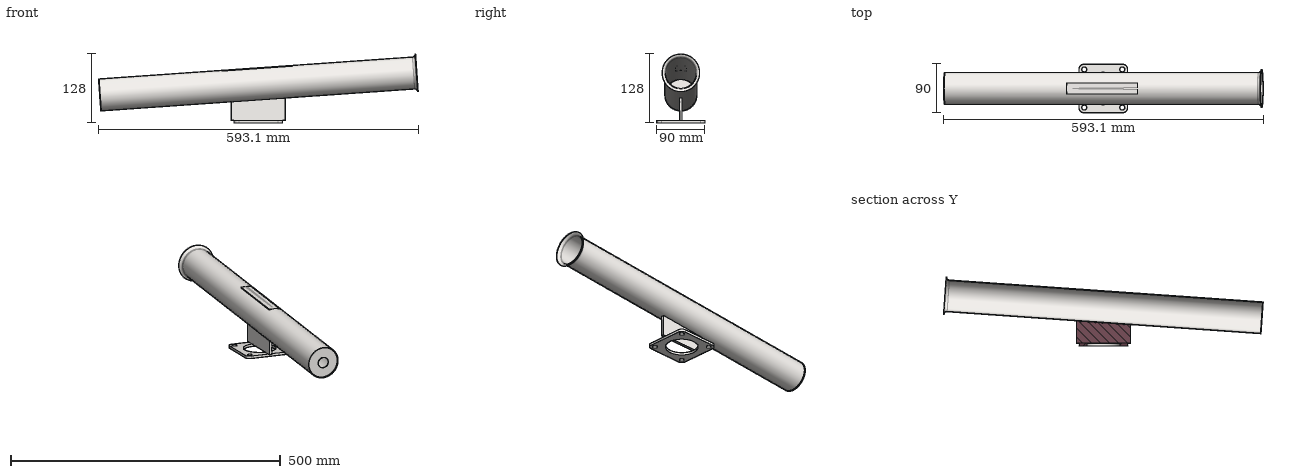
import cadquery as cq
import math

tilt = 4.0
tube_diameter = 60.0
bore_diameter = 57.0
tube_length = 590.0
lip_diameter = 70.0
end_hole_diameter = 20.0
overall_height = 128.0

tube_radius = tube_diameter / 2
bore_radius = bore_diameter / 2
lip_radius = lip_diameter / 2
wall = tube_radius - bore_radius
lower_end = -tube_length / 2
upper_end = tube_length / 2
tilt_angle = math.radians(tilt)
tube_center_height = overall_height - upper_end * math.sin(tilt_angle) - lip_radius * math.cos(tilt_angle)

pad_length = 131.5
pad_width = 20.0
pad_sink_angle = 0.02
pad_sink_start = -54.5

plate_size = 90.0
plate_thickness = 5.0
plate_corner_radius = 9.0
plate_opening_diameter = 60.5
screw_hole_diameter = 9.0
screw_hole_spacing = 70.5

web_length = 101.0
web_thickness = 5.0


def place_on_incline(shape):
    """Move a shape modelled along the X axis, centred on the origin, to the tube's place."""
    tilted = shape.rotate((0, 0, 0), (0, 1, 0), -tilt)
    return tilted.translate((0, 0, tube_center_height))


def cylinder_along_x(diameter, start, length):
    return cq.Workplane("YZ", origin=(start, 0, 0)).circle(diameter / 2).extrude(length)


def make_tube_shell():
    """Revolve the wall: end wall, straight tube and quarter-round flare."""
    outer_bend = lip_radius - tube_radius
    inner_bend = lip_radius - bore_radius
    bend_start = upper_end - inner_bend
    diagonal = math.sqrt(0.5)
    outer_mid = (bend_start + outer_bend * diagonal, lip_radius - outer_bend * diagonal)
    inner_mid = (bend_start + inner_bend * diagonal, lip_radius - inner_bend * diagonal)
    hole_radius = end_hole_diameter / 2
    return (
        cq.Workplane("XZ")
        .moveTo(lower_end, hole_radius)
        .lineTo(lower_end, tube_radius)
        .lineTo(bend_start, tube_radius)
        .threePointArc(outer_mid, (bend_start + outer_bend, lip_radius))
        .lineTo(upper_end, lip_radius)
        .threePointArc(inner_mid, (bend_start, bore_radius))
        .lineTo(lower_end + wall, bore_radius)
        .lineTo(lower_end + wall, hole_radius)
        .close()
        .revolve(360, (0, 0, 0), (1, 0, 0))
    )


def make_pad():
    """Flat-topped pad that blends into the tube wall.

    Its top sinks very slightly toward the upper end, so a thin sliver of the crown shows through.
    """
    block = cq.Workplane("XY").box(pad_length, pad_width, tube_radius, centered=(True, True, False))
    block = block.rotate((pad_sink_start, 0, tube_radius), (pad_sink_start, 1, tube_radius), pad_sink_angle)
    return block.cut(cylinder_along_x(bore_diameter, -pad_length, 2 * pad_length))


def make_tube():
    return place_on_incline(make_tube_shell().union(make_pad()))


def make_web():
    """Upright sheet whose top edge is fitted to the underside of the tube."""
    sheet = cq.Workplane("XY", origin=(0, 0, plate_thickness)).box(
        web_length, web_thickness, tube_center_height - plate_thickness, centered=(True, True, False)
    )
    tube_envelope = place_on_incline(cylinder_along_x(tube_diameter, lower_end, tube_length))
    return sheet.cut(tube_envelope)


def make_plate():
    return (
        cq.Workplane("XY")
        .box(plate_size, plate_size, plate_thickness, centered=(True, True, False))
        .edges("|Z")
        .fillet(plate_corner_radius)
        .faces(">Z")
        .workplane()
        .hole(plate_opening_diameter)
        .faces(">Z")
        .workplane()
        .rect(screw_hole_spacing, screw_hole_spacing, forConstruction=True)
        .vertices()
        .hole(screw_hole_diameter)
    )


tube = make_tube()
web = make_web()
plate = make_plate()

result = cq.Compound.makeCompound([*tube.solids().vals(), *web.solids().vals(), *plate.solids().vals()])